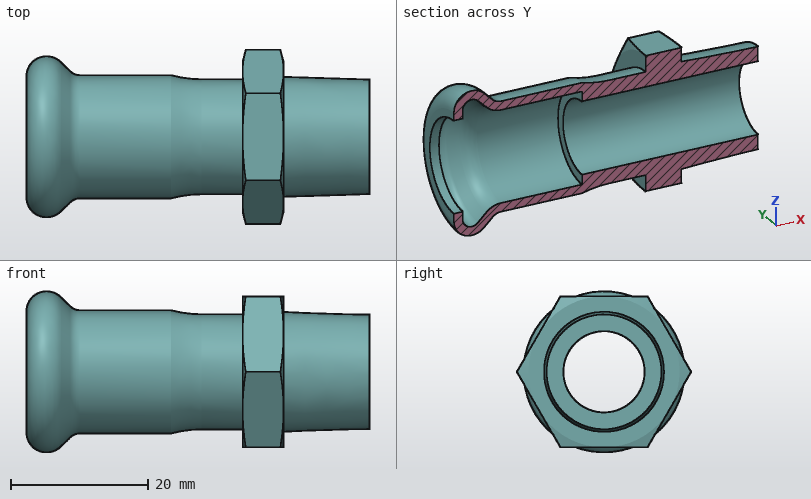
import cadquery as cq
import math

total_length = 50.0

socket_radius = 9.0
wall = 1.5
socket_bore_radius = socket_radius - wall
bead_radius = 2.95
bead_center_radius = 8.8
bead_cove_radius = 1.9
bead_end_x = 7.75
bead_slope = math.radians(45)

neck_start_x = 21.05
neck_end_x = 25.5
neck_radius = 8.4
through_bore_radius = 5.9

hex_start_x = 31.5
hex_end_x = 37.45
across_flats = 22.0
across_corners = across_flats / math.cos(math.radians(30))
hex_chamfer_angle = math.radians(15)

thread_start_radius = 8.75
thread_taper = 1 / 16
thread_end_radius = thread_start_radius - (total_length - hex_end_x) * thread_taper / 2


def add_bead(profile, round_radius, cove_radius, end_radius):
    """Continue a profile with the bead's round, slope and cove, ending on a cylinder."""
    center_x = bead_radius

    def round_point(angle):
        return (
            center_x + round_radius * math.sin(angle),
            bead_center_radius + round_radius * math.cos(angle),
        )

    def cove_point(angle):
        return (
            bead_end_x - cove_radius * math.sin(angle),
            end_radius + cove_radius * (1 - math.cos(angle)),
        )

    start_angle = -math.pi / 2
    return (
        profile.lineTo(*round_point(start_angle))
        .threePointArc(round_point((start_angle + bead_slope) / 2), round_point(bead_slope))
        .lineTo(*cove_point(bead_slope))
        .threePointArc(cove_point(bead_slope / 2), (bead_end_x, end_radius))
    )


def revolve(profile):
    return profile.close().revolve(360, (0, 0, 0), (1, 0, 0))


def make_body():
    """Solid outer shape of the socket, neck and thread spigot."""
    profile = cq.Workplane("XY").moveTo(0, 0)
    profile = add_bead(profile, bead_radius, bead_cove_radius, socket_radius)

    length = neck_end_x - neck_start_x
    drop = socket_radius - neck_radius
    arc_radius = (length**2 + drop**2) / (2 * drop)
    half_angle = math.asin(length / arc_radius) / 2
    neck_middle = (
        neck_end_x - arc_radius * math.sin(half_angle),
        neck_radius + arc_radius * (1 - math.cos(half_angle)),
    )
    profile = (
        profile.lineTo(neck_start_x, socket_radius)
        .threePointArc(neck_middle, (neck_end_x, neck_radius))
        .lineTo(hex_end_x, neck_radius)
        .lineTo(hex_end_x, thread_start_radius)
        .lineTo(total_length, thread_end_radius)
        .lineTo(total_length, 0)
    )
    return revolve(profile)


def make_hexagon():
    """Hexagon with corners on Y, its corners chamfered conically at both ends."""
    hexagon = (
        cq.Workplane("YZ", origin=(hex_start_x, 0, 0))
        .polygon(6, across_corners)
        .extrude(hex_end_x - hex_start_x)
    )
    flat_radius = across_flats / 2
    corner_radius = across_corners / 2
    chamfer_depth = (corner_radius - flat_radius) * math.tan(hex_chamfer_angle)
    envelope = revolve(
        cq.Workplane("XY")
        .moveTo(hex_start_x, 0)
        .lineTo(hex_start_x, flat_radius)
        .lineTo(hex_start_x + chamfer_depth, corner_radius)
        .lineTo(hex_end_x - chamfer_depth, corner_radius)
        .lineTo(hex_end_x, flat_radius)
        .lineTo(hex_end_x, 0)
    )
    return hexagon.intersect(envelope)


def make_cavity():
    """Socket bore with the O-ring groove, tube stop and through bore."""
    profile = (
        cq.Workplane("XY")
        .moveTo(0, 0)
        .lineTo(0, socket_bore_radius)
        .lineTo(wall, socket_bore_radius)
    )
    profile = add_bead(profile, bead_radius - wall, bead_cove_radius + wall, socket_bore_radius)
    profile = (
        profile.lineTo(neck_start_x, socket_bore_radius)
        .lineTo(neck_start_x, through_bore_radius)
        .lineTo(total_length, through_bore_radius)
        .lineTo(total_length, 0)
    )
    return revolve(profile)


result = make_body().union(make_hexagon()).cut(make_cavity())